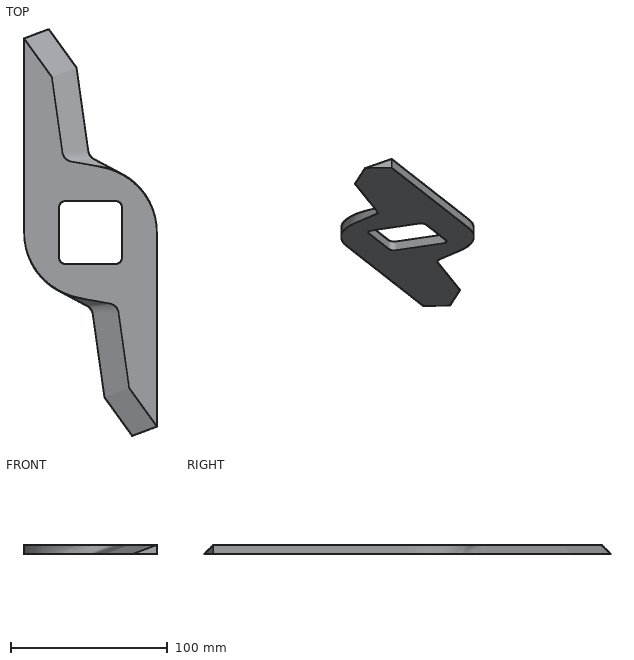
import cadquery as cq
import math

length = 260.0
width = 85.0
thickness = 6.0
hub_radius = width / 2

bevel_run_x = 15.9
bevel_run_y = 6.0

tip_x = -hub_radius
tip_y = length / 2 - bevel_run_y
bend_x = -24.7
bend_y = 99.3
arm_angle = math.radians(8.0)
root_radius = 7.0

top_shoulder_angle = math.radians(10.0)
bottom_shoulder_angle = math.radians(28.0)

hole_size = 40.0
hole_corner_radius = 4.0


def hub_point(angle):
    """Point on the hub circle, with the angle measured clockwise from +Y."""
    return cq.Vector(hub_radius * math.sin(angle), hub_radius * math.cos(angle))


def arm_edges(tip, bend, shoulder_angle):
    """Edges of one arm, from the straight back round to the opposite back."""
    arm_direction = cq.Vector(math.sin(arm_angle), -math.cos(arm_angle))
    shoulder_direction = cq.Vector(math.cos(shoulder_angle), -math.sin(shoulder_angle))
    hub_normal = cq.Vector(math.sin(shoulder_angle), math.cos(shoulder_angle))

    corner_distance = (hub_radius - bend.dot(hub_normal)) / arm_direction.dot(hub_normal)
    corner = bend + arm_direction * corner_distance

    turn = arm_direction.getAngle(shoulder_direction)
    setback = root_radius * math.tan(turn / 2)
    fillet_start = corner - arm_direction * setback
    fillet_end = corner + shoulder_direction * setback
    shoulder_end = hub_point(shoulder_angle)
    arc_middle = hub_point((shoulder_angle + math.pi / 2) / 2)
    arc_end = cq.Vector(hub_radius, 0)

    return [
        cq.Edge.makeLine(cq.Vector(-hub_radius, 0), tip),
        cq.Edge.makeLine(tip, bend),
        cq.Edge.makeLine(bend, fillet_start),
        cq.Edge.makeTangentArc(fillet_start, arm_direction, fillet_end),
        cq.Edge.makeLine(fillet_end, shoulder_end),
        cq.Edge.makeThreePointArc(shoulder_end, arc_middle, arc_end),
    ]


def blade_outline(tip, bend, shoulder_angle, height):
    """Closed outline of both arms at the given height."""
    edges = arm_edges(tip, bend, shoulder_angle)
    opposite = [edge.rotate(cq.Vector(0, 0, 0), cq.Vector(0, 0, 1), 180) for edge in edges]
    return cq.Wire.assembleEdges(edges + opposite).translate(cq.Vector(0, 0, height))


def blade_body():
    """Ruled body between the bottom and top outlines."""
    top_tip = cq.Vector(tip_x, tip_y)
    top_bend = cq.Vector(bend_x, bend_y)
    bottom_bend = top_bend + cq.Vector(bevel_run_x, bevel_run_y)

    cutting_slope = (tip_y - bend_y) / (tip_x - bend_x)
    bottom_tip_y = bottom_bend.y + cutting_slope * (tip_x - bottom_bend.x)
    bottom_tip = cq.Vector(tip_x, bottom_tip_y)

    bottom = blade_outline(bottom_tip, bottom_bend, bottom_shoulder_angle, 0)
    top = blade_outline(top_tip, top_bend, top_shoulder_angle, thickness)
    return cq.Workplane(cq.Solid.makeLoft([bottom, top], True))


def end_trim():
    """Block beyond the vertical end face of the arm on the +Y side."""
    trim_size = length / 2
    end_angle = math.degrees(math.atan2(bevel_run_y, bevel_run_x))
    block = cq.Workplane().box(trim_size, trim_size, trim_size, centered=(True, False, True))
    return block.rotate((0, 0, 0), (0, 0, 1), end_angle).translate((tip_x, tip_y, 0))


def square_hole():
    """Square drive hole with rounded corners."""
    hole = cq.Workplane().rect(hole_size, hole_size).extrude(thickness)
    return hole.edges("|Z").fillet(hole_corner_radius)


result = blade_body().cut(square_hole())
for half_turn in (0, 180):
    result = result.cut(end_trim().rotate((0, 0, 0), (0, 0, 1), half_turn))